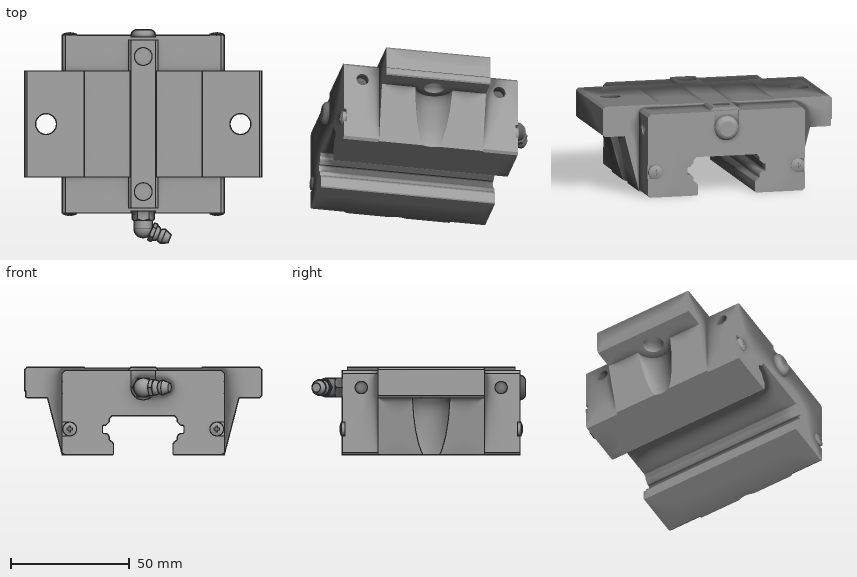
import cadquery as cq
import math

block_width = 100.0
block_length = 44.8
height = 37.0
flange_bottom_z = 24.0
flange_chamfer = 1.0
block_root_half = 40.4
block_foot_half = 34.2
datum_step_z = 27.0
datum_step_depth = 0.4
datum_chamfer = 0.5

relief_depth = 0.3
relief_outer_half = 25.0
band_half = 5.2

bolt_x = 41.0
bolt_diameter = 8.7
scallop_x = 41.4
scallop_radius = 8.0

cap_half_width = 34.2
cap_height = 35.7
cap_top_chamfer = 1.3
cap_bottom_chamfer = 1.0
caps_length = 75.1
cap_end_y = caps_length / 2
band_length = 70.8
band_foot_half = 6.3
port_z = 28.4
top_port_diameter = 7.5
top_port_depth = 0.5
top_port_y = 28.5
side_port_diameter = 5.2
side_port_depth = 4.0
side_port_y = 29.5

pocket_radius = 5.2
pocket_depth = 0.9
pocket_floor_y = cap_end_y - pocket_depth

rail_top_z = 16.5
rail_top_half = 13.2
rail_shoulder_half = 14.3
rail_shoulder_z = 15.2
rail_flank_z = 14.0
rail_groove_half = 17.1
rail_groove_top_z = 12.4
rail_groove_bottom_z = 9.1
rail_mouth_half = 12.5
rail_mouth_z = 4.7
rail_mouth_chamfer = 0.4
bead_center_half = 16.3
bead_radius = 2.0
groove_corner = 0.3
lip_top_z = 6.4
lip_half = 13.2
lip_z = 5.5

screw_x = 31.0
screw_z = 10.9
screw_radius = 2.9
screw_seat_depth = 1.1
screw_rim = 1.4
screw_height = 2.1
cross_length = 2.4
cross_width = 0.7
cross_depth = 0.6

plug_tip_y = 39.8
plug_flat_radius = 3.3

elbow_hex_flats = 8.1
elbow_hex_length = 4.0
elbow_hex_chamfer = 0.6
elbow_radius = 4.0
elbow_y = -44.0
nipple_angle = 22.0
nipple_hex_flats = 6.9
nipple_hex_start = 3.5
nipple_hex_end = 5.2
nipple_hex_chamfer = 0.3
collar_radius = 3.2
neck_radius = 2.1
neck_end = 7.2
head_radius = 3.1
head_end = 9.2
tip_radius = 1.9
tip_end = 12.0


def extrude_along_y(profile, length):
    """Extrude an XZ profile, centred on Y = 0."""
    return profile.extrude(length / 2, both=True)


def cylinder_y(x, z, radius, y_start, y_end):
    return cq.Workplane("XZ", origin=(x, y_start, z)).circle(radius).extrude(y_start - y_end)


def make_block():
    half = block_width / 2
    datum_half = half - datum_step_depth
    relief_z = height - relief_depth
    profile = (
        cq.Workplane("XZ")
        .moveTo(-block_foot_half, 0)
        .lineTo(block_foot_half, 0)
        .lineTo(block_root_half, flange_bottom_z)
        .lineTo(half - flange_chamfer, flange_bottom_z)
        .lineTo(half, flange_bottom_z + flange_chamfer)
        .lineTo(half, height - flange_chamfer)
        .lineTo(half - flange_chamfer, height)
        .lineTo(relief_outer_half, height)
        .lineTo(relief_outer_half - relief_depth, relief_z)
        .lineTo(band_half + relief_depth, relief_z)
        .lineTo(band_half, height)
        .lineTo(-band_half, height)
        .lineTo(-band_half - relief_depth, relief_z)
        .lineTo(-relief_outer_half + relief_depth, relief_z)
        .lineTo(-relief_outer_half, height)
        .lineTo(-half + flange_chamfer, height)
        .lineTo(-half, height - flange_chamfer)
        .lineTo(-half, datum_step_z)
        .lineTo(-datum_half, datum_step_z)
        .lineTo(-datum_half, flange_bottom_z + datum_chamfer)
        .lineTo(-datum_half + datum_chamfer, flange_bottom_z)
        .lineTo(-block_root_half, flange_bottom_z)
        .close()
    )
    block = extrude_along_y(profile, block_length)
    bolt_holes = (
        cq.Workplane("XY")
        .pushPoints([(side * bolt_x, 0) for side in (-1, 1)])
        .circle(bolt_diameter / 2)
        .extrude(height)
    )
    return block.cut(bolt_holes)


def make_scallops():
    """Vertical clearance for the bolt heads below the flange."""
    return (
        cq.Workplane("XY")
        .pushPoints([(side * scallop_x, 0) for side in (-1, 1)])
        .circle(scallop_radius)
        .extrude(flange_bottom_z)
    )


def make_caps():
    caps = (
        cq.Workplane("XY")
        .box(2 * cap_half_width, caps_length, cap_height, centered=(True, True, False))
    )
    caps = caps.edges("|Y and >Z").chamfer(cap_top_chamfer)
    caps = caps.edges("|Y and <Z").chamfer(cap_bottom_chamfer)
    band_profile = (
        cq.Workplane("XZ")
        .moveTo(-band_foot_half, cap_height)
        .lineTo(band_foot_half, cap_height)
        .lineTo(band_half, height)
        .lineTo(-band_half, height)
        .close()
    )
    return caps.union(extrude_along_y(band_profile, band_length))


def make_ports():
    """Blind ports in the top and both sides of each end cap."""
    top_ports = (
        cq.Workplane("XY", origin=(0, 0, height - top_port_depth))
        .pushPoints([(0, -top_port_y), (0, top_port_y)])
        .circle(top_port_diameter / 2)
        .extrude(top_port_depth)
    )
    side_ports = (
        cq.Workplane("YZ", origin=(cap_half_width - side_port_depth, 0, port_z))
        .pushPoints([(-side_port_y, 0), (side_port_y, 0)])
        .circle(side_port_diameter / 2)
        .extrude(side_port_depth)
    )
    return top_ports.union(side_ports).union(side_ports.mirror("YZ"))


def make_rail_opening():
    """Half of the opening at +X, mirrored to both sides."""
    bead_z = rail_groove_bottom_z - bead_radius
    bead_mid = bead_radius * math.sqrt(0.5)
    half = (
        cq.Workplane("XZ")
        .moveTo(0, 0)
        .lineTo(rail_mouth_half + rail_mouth_chamfer, 0)
        .lineTo(rail_mouth_half, rail_mouth_chamfer)
        .lineTo(rail_mouth_half, rail_mouth_z)
        .lineTo(lip_half, lip_z)
        .lineTo(rail_shoulder_half, lip_top_z)
        .lineTo(bead_center_half - bead_radius, bead_z)
        .threePointArc(
            (bead_center_half - bead_mid, bead_z + bead_mid),
            (bead_center_half, rail_groove_bottom_z),
        )
        .lineTo(rail_groove_half - groove_corner, rail_groove_bottom_z)
        .lineTo(rail_groove_half, rail_groove_bottom_z + groove_corner)
        .lineTo(rail_groove_half, rail_groove_top_z - groove_corner)
        .lineTo(rail_groove_half - groove_corner, rail_groove_top_z)
        .lineTo(rail_shoulder_half + rail_flank_z - rail_groove_top_z, rail_groove_top_z)
        .lineTo(rail_shoulder_half, rail_flank_z)
        .lineTo(rail_shoulder_half, rail_shoulder_z)
        .lineTo(rail_top_half, rail_top_z)
        .lineTo(0, rail_top_z)
        .close()
    )
    opening = extrude_along_y(half, caps_length)
    return opening.union(opening.mirror("YZ"))


def make_front_pockets():
    """Recesses in the front end face: grease port slot and two screw seats."""
    pockets = cylinder_y(0, port_z, pocket_radius, -cap_end_y, -pocket_floor_y)
    pockets = pockets.union(
        cq.Workplane("XY")
        .box(2 * pocket_radius, pocket_depth, height - port_z, centered=(True, False, False))
        .translate((0, -cap_end_y, port_z))
    )
    seat_floor_y = -cap_end_y + screw_seat_depth
    seat = cylinder_y(screw_x, screw_z, screw_radius, -cap_end_y, seat_floor_y)
    seat = seat.union(
        cq.Workplane("XY")
        .box(cap_half_width - screw_x, screw_seat_depth, 2 * screw_radius, centered=(False, False, True))
        .translate((screw_x, -cap_end_y, screw_z))
    )
    return pockets.union(seat).union(seat.mirror("YZ"))


def make_screw():
    """Domed cross-head screw at the front, +X side."""
    dome_height = screw_height - screw_rim
    dome_radius = (screw_radius**2 + dome_height**2) / (2 * dome_height)
    half_span = screw_radius / 2
    half_span_y = screw_height - dome_radius + math.sqrt(dome_radius**2 - half_span**2)
    head = (
        cq.Workplane("XY")
        .lineTo(screw_radius, 0)
        .lineTo(screw_radius, screw_rim)
        .threePointArc((half_span, half_span_y), (0, screw_height))
        .close()
        .revolve(360, (0, 0), (0, 1))
    )
    top_plane = cq.Workplane("XZ", origin=(0, screw_height, 0))
    cross_bar = top_plane.rect(cross_length, cross_width).extrude(cross_depth)
    cross = cross_bar.union(cross_bar.rotate((0, 0, 0), (0, 1, 0), 90))
    seat_floor_y = -cap_end_y + screw_seat_depth
    return head.cut(cross).mirror("XZ").translate((screw_x, seat_floor_y, screw_z))


def make_plug():
    """Domed plug filling the grease port slot at the back."""
    dome_height = plug_tip_y - pocket_floor_y
    mid_angle = math.radians(45)
    mid_point = (
        plug_flat_radius + (pocket_radius - plug_flat_radius) * math.cos(mid_angle),
        dome_height * math.sin(mid_angle),
    )
    return (
        cq.Workplane("XY")
        .lineTo(pocket_radius, 0)
        .threePointArc(mid_point, (plug_flat_radius, dome_height))
        .lineTo(0, dome_height)
        .close()
        .revolve(360, (0, 0), (0, 1))
        .translate((0, pocket_floor_y, port_z))
    )


def hex_along_z(across_flats, start, end, chamfer, both_ends):
    """Hexagon with corners on the X axis and turned corner chamfers."""
    corner_radius = across_flats / math.sqrt(3)
    length = end - start
    turned = cq.Workplane("XY").circle(corner_radius).extrude(length)
    turned = turned.faces("|Z" if both_ends else ">Z").chamfer(chamfer)
    prism = cq.Workplane("XY").polygon(6, 2 * corner_radius).extrude(length)
    return prism.intersect(turned).translate((0, 0, start))


def make_nipple():
    """Straight nipple along +Z, its origin at the elbow centre."""
    mid_angle = math.radians(45)
    shoulder_mid = (
        neck_radius + (head_radius - neck_radius) * math.sin(mid_angle),
        head_end - (head_end - neck_end) * math.cos(mid_angle),
    )
    collar_mid = (
        neck_radius + (collar_radius - neck_radius) * math.cos(mid_angle),
        nipple_hex_end + (neck_end - nipple_hex_end) * math.sin(mid_angle),
    )
    turned = (
        cq.Workplane("XZ")
        .lineTo(neck_radius, 0)
        .lineTo(neck_radius, nipple_hex_end)
        .lineTo(collar_radius, nipple_hex_end)
        .threePointArc(collar_mid, (neck_radius, neck_end))
        .threePointArc(shoulder_mid, (head_radius, head_end))
        .lineTo(tip_radius, tip_end)
        .lineTo(0, tip_end)
        .close()
        .revolve(360, (0, 0), (0, 1))
    )
    nut = hex_along_z(nipple_hex_flats, nipple_hex_start, nipple_hex_end, nipple_hex_chamfer, True)
    return turned.union(nut)


def make_elbow():
    """Grease nipple: hexagon, round elbow and an angled nipple."""
    hex_base = hex_along_z(elbow_hex_flats, 0, elbow_hex_length, elbow_hex_chamfer, False)
    hex_base = hex_base.rotate((0, 0, 0), (1, 0, 0), 90).translate((0, -pocket_floor_y, 0))
    neck = cylinder_y(0, 0, elbow_radius, elbow_y, -pocket_floor_y)
    ball = cq.Workplane("XY").sphere(elbow_radius)
    nipple = (
        make_nipple()
        .rotate((0, 0, 0), (1, 0, 0), 90)
        .rotate((0, 0, 0), (0, 0, 1), 90 - nipple_angle)
    )
    bend = ball.union(nipple).translate((0, elbow_y, 0))
    return hex_base.union(neck).union(bend).translate((0, 0, port_z))


front_pockets = make_front_pockets()
front_screw = make_screw()

body = make_block().union(make_caps())
body = body.cut(make_scallops()).cut(make_rail_opening())
body = body.cut(make_ports())
body = body.cut(front_pockets).cut(front_pockets.mirror("XZ"))

for screw in (front_screw, front_screw.mirror("YZ")):
    body = body.union(screw).union(screw.mirror("XZ"))

result = body.union(make_plug()).union(make_elbow())